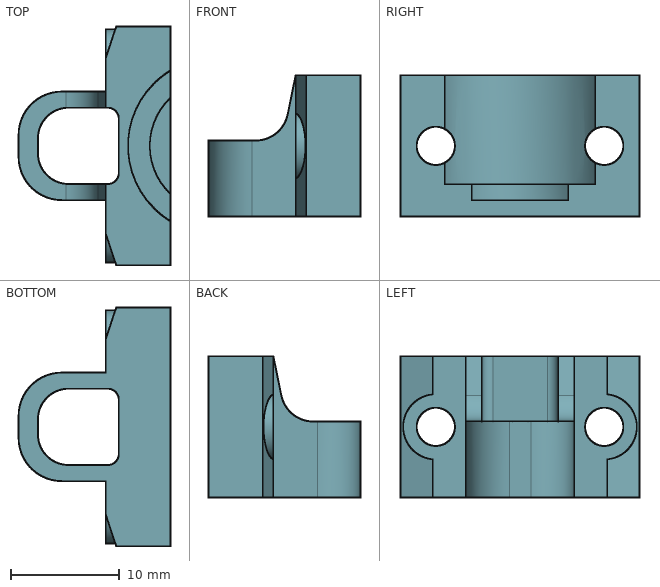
import cadquery as cq

length_x = 14.0
width_y = 22.0
height = 13.0

plate_front = 8.0
plate_bevel_depth = 1.0
plate_bevel_width = 3.0

loop_width = 10.0
loop_radius = 4.0
loop_height = 7.0
shoulder_foot = 6.8
shoulder_radius = 3.0

opening_front = 1.8
opening_back = 9.22
opening_width = 7.0
opening_front_radius = 2.8
opening_back_radius = 1.0

hole_diameter = 3.5
hole_spacing = 15.49
hole_height = height / 2
boss_diameter = 6.0

seat_axis_x = 18.17
seat_radius = 8.1
seat_depth = 10.0
step_radius = 6.1
step_depth = 11.5


def make_plate():
    """Plate with both front vertical edges bevelled."""
    bevel_back = plate_front + plate_bevel_depth
    half_width = width_y / 2
    flat_half_width = half_width - plate_bevel_width
    outline = [
        (length_x, -half_width),
        (bevel_back, -half_width),
        (plate_front, -flat_half_width),
        (plate_front, flat_half_width),
        (bevel_back, half_width),
        (length_x, half_width),
    ]
    return cq.Workplane("XY").polyline(outline).close().extrude(height)


def make_loop():
    """Rounded block whose top sweeps up to the top of the plate."""
    side_profile = [
        (0, 0),
        (opening_back, 0),
        (opening_back, height),
        (plate_front, height),
        (shoulder_foot, loop_height),
        (0, loop_height),
    ]
    block = (
        cq.Workplane("XZ")
        .polyline(side_profile)
        .close()
        .extrude(loop_width / 2, both=True)
    )
    shoulder_edge = cq.selectors.NearestToPointSelector((shoulder_foot, 0, loop_height))
    block = block.edges(shoulder_edge).fillet(shoulder_radius)
    return block.faces("<X").edges("|Z").fillet(loop_radius)


def make_opening():
    """Vertical through opening with rounded corners."""
    opening = (
        cq.Workplane("XY")
        .box(opening_back - opening_front, opening_width, height, centered=(False, True, False))
        .translate((opening_front, 0, 0))
    )
    opening = opening.faces("<X").edges("|Z").fillet(opening_front_radius)
    return opening.faces(">X").edges("|Z").fillet(opening_back_radius)


def cylinders_at_holes(diameter, end_x):
    """Pair of cylinders along X, from the plate front to end_x."""
    return (
        cq.Workplane("YZ", origin=(plate_front, 0, hole_height))
        .pushPoints([(-hole_spacing / 2, 0), (hole_spacing / 2, 0)])
        .circle(diameter / 2)
        .extrude(end_x - plate_front)
    )


def make_seat_level(radius, depth):
    """Vertical cylinder reaching down from the top of the plate."""
    return (
        cq.Workplane("XY", origin=(seat_axis_x, 0, height))
        .circle(radius)
        .extrude(-depth)
    )


bosses = cylinders_at_holes(boss_diameter, plate_front + plate_bevel_depth)
screw_holes = cylinders_at_holes(hole_diameter, length_x)

result = (
    make_plate()
    .union(make_loop())
    .union(bosses)
    .cut(make_opening())
    .cut(make_seat_level(seat_radius, seat_depth))
    .cut(make_seat_level(step_radius, step_depth))
    .cut(screw_holes)
)